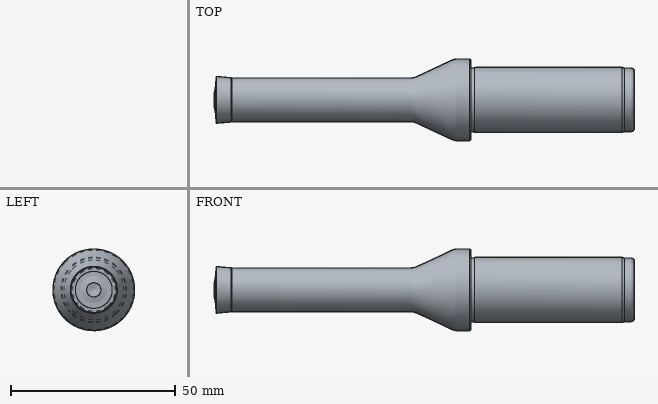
import cadquery as cq

total_length = 128.0

head_length = 5.1
head_rim_diameter = 14.3
head_rim_chamfer = 0.3
head_back_diameter = 13.6
face_inset = 0.5
land_height = 0.1
land_diameter = 11.3
boss_diameter = 8.2
dimple_diameter = 4.4
dimple_depth = 0.4
dimple_floor_diameter = 0.6

neck_diameter = 13.5
neck_chamfer = 0.3
neck_end = 59.8
flare_start = 61.7
flare_start_diameter = 14.2
flare_end = 72.2
flare_end_diameter = 24.0
collar_diameter = 25.0
collar_start = 73.7
collar_end = 78.2
collar_chamfer = 0.4

shank_diameter = 20.0
relief_diameter = 19.5
relief_mid_radius = (shank_diameter + relief_diameter) / 4
relief_radius = 0.4
relief_floor_end = 78.8
relief_end = 79.9
tail_start = 124.2
tail_taper = 0.4
tail_blend = 0.4
tail_round_length = 1.2
tail_round_height = 0.6


def revolve_about_x(profile):
    """Turn a closed half profile, drawn as (x, radius), about the X axis."""
    return profile.close().revolve(360, (0, 0, 0), (1, 0, 0))


def make_head():
    """Back-tapered head whose face carries a low land, a conical boss and a centre dimple."""
    land_face = face_inset - land_height
    profile = (
        cq.Workplane("XY")
        .moveTo(dimple_depth, 0)
        .lineTo(dimple_depth, dimple_floor_diameter / 2)
        .lineTo(0, dimple_diameter / 2)
        .lineTo(land_face, boss_diameter / 2)
        .lineTo(land_face, land_diameter / 2)
        .lineTo(face_inset, land_diameter / 2)
        .lineTo(face_inset, head_rim_diameter / 2 - head_rim_chamfer)
        .lineTo(face_inset + head_rim_chamfer, head_rim_diameter / 2)
        .lineTo(head_length, head_back_diameter / 2)
        .lineTo(head_length, 0)
    )
    return revolve_about_x(profile)


def make_holder():
    """Neck, flared collar and shank turned as one piece."""
    profile = (
        cq.Workplane("XY")
        .moveTo(head_length, 0)
        .lineTo(head_length, neck_diameter / 2 - neck_chamfer)
        .lineTo(head_length + neck_chamfer, neck_diameter / 2)
        .lineTo(neck_end, neck_diameter / 2)
        .tangentArcPoint((flare_start, flare_start_diameter / 2), relative=False)
        .lineTo(flare_end, flare_end_diameter / 2)
        .tangentArcPoint((collar_start, collar_diameter / 2), relative=False)
        .lineTo(collar_end - collar_chamfer, collar_diameter / 2)
        .lineTo(collar_end, collar_diameter / 2 - collar_chamfer)
        .lineTo(collar_end, relief_diameter / 2 + relief_radius)
        .tangentArcPoint((collar_end + relief_radius, relief_diameter / 2), relative=False)
        .lineTo(relief_floor_end, relief_diameter / 2)
        .tangentArcPoint((relief_floor_end + relief_radius, relief_mid_radius), relative=False)
        .lineTo(relief_end, shank_diameter / 2)
        .lineTo(tail_start, shank_diameter / 2)
        .lineTo(tail_start + tail_taper, relief_mid_radius)
        .lineTo(tail_start + tail_taper + tail_blend, relief_diameter / 2)
        .lineTo(total_length - tail_round_length, relief_diameter / 2)
        .tangentArcPoint((total_length, relief_diameter / 2 - tail_round_height), relative=False)
        .lineTo(total_length, 0)
    )
    return revolve_about_x(profile)


head = make_head()
holder = make_holder()
result = cq.Compound.makeCompound([head.val(), holder.val()])